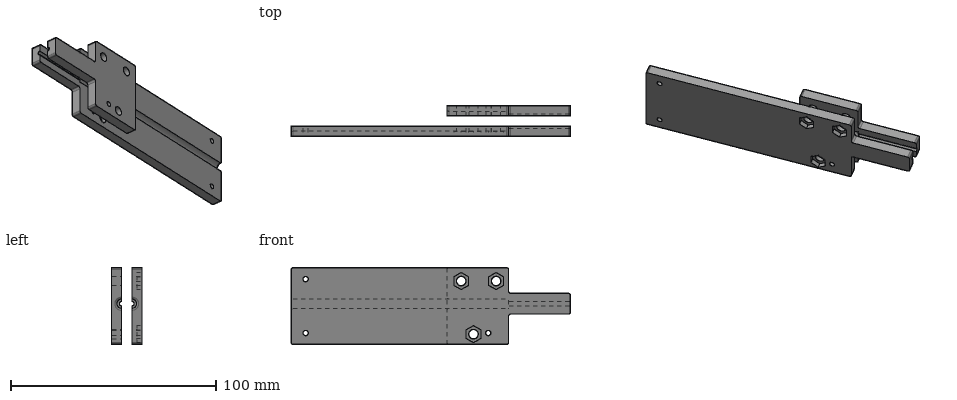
import cadquery as cq

length = 136.2
height = 37.5
stack_depth = 15.0
plate_gap = 5.0
plate_thickness = (stack_depth - plate_gap) / 2
shoulder_x = 106.0
rear_start_x = 76.0
corner_radius = 1.0

bore_z = 19.9
tab_height = 10.2

wide_bore_diameter = 4.5
narrow_bore_diameter = 2.0
mouth_radius = 1.0

bolt_diameter = 4.5
upper_bolt_z = 30.9
bolt_points = [(82.9, upper_bolt_z), (100.0, upper_bolt_z), (88.9, 5.0)]
nut_across_flats = 7.2
nut_corner_radius = nut_across_flats / 3**0.5
nut_depth = 2.5

pin_diameter = 2.5
pin_left_x = 7.1
pin_lower_z = 5.6
right_pin = (96.1, pin_lower_z)
front_pins = [(pin_left_x, 31.9), (pin_left_x, pin_lower_z), right_pin]

front_inner_y = plate_thickness
rear_inner_y = stack_depth - plate_thickness


def block(x_start, x_end, z_start, z_end, y_start):
    """Rectangular block one plate thick."""
    return cq.Workplane("XY").box(
        x_end - x_start, plate_thickness, z_end - z_start, centered=False
    ).translate((x_start, y_start, z_start))


def tabbed_plate(x_start, y_start):
    """Plate with a narrow tab on its +X end and rounded outline corners."""
    body = block(x_start, shoulder_x, 0, height, y_start)
    tab_bottom = bore_z - tab_height / 2
    tab = block(shoulder_x, length, tab_bottom, tab_bottom + tab_height, y_start)
    return body.union(tab).edges("|Y").fillet(corner_radius)


def cylinders_along_y(points, diameter):
    """Cutters that pass through both plates at the given (x, z) points."""
    return (
        cq.Workplane("XZ").pushPoints(points).circle(diameter / 2).extrude(-stack_depth)
    )


def nut_pockets():
    """Hexagonal pockets in the outer face of the front plate, with points up and down."""
    hexagon = cq.Sketch().regularPolygon(nut_corner_radius, 6)
    pockets = cq.Workplane("XZ").pushPoints(bolt_points).placeSketch(hexagon)
    return pockets.extrude(-nut_depth)


def bore_cutter(x_start, inner_y):
    """Revolved cutter: rounded mouth, wide bore to the shoulder, narrow bore in the tab."""
    wide_radius = wide_bore_diameter / 2
    narrow_radius = narrow_bore_diameter / 2
    profile = (
        cq.Workplane("XY")
        .moveTo(x_start, 0)
        .lineTo(x_start, wide_radius + mouth_radius)
        .radiusArc((x_start + mouth_radius, wide_radius), -mouth_radius)
        .lineTo(shoulder_x, wide_radius)
        .lineTo(shoulder_x, narrow_radius)
        .lineTo(length, narrow_radius)
        .lineTo(length, 0)
        .close()
    )
    cutter = profile.revolve(360, (0, 0, 0), (1, 0, 0))
    return cutter.translate((0, inner_y, bore_z))


def front_plate():
    """Long plate with nut pockets and three pin holes."""
    return (
        tabbed_plate(0, 0)
        .cut(cylinders_along_y(bolt_points, bolt_diameter))
        .cut(nut_pockets())
        .cut(cylinders_along_y(front_pins, pin_diameter))
        .cut(bore_cutter(0, front_inner_y))
    )


def rear_plate():
    """Short clamping plate behind the right-hand end of the front plate."""
    return (
        tabbed_plate(rear_start_x, rear_inner_y)
        .cut(cylinders_along_y(bolt_points, bolt_diameter))
        .cut(cylinders_along_y([right_pin], pin_diameter))
        .cut(bore_cutter(rear_start_x, rear_inner_y))
    )


result = cq.Compound.makeCompound([front_plate().val(), rear_plate().val()])